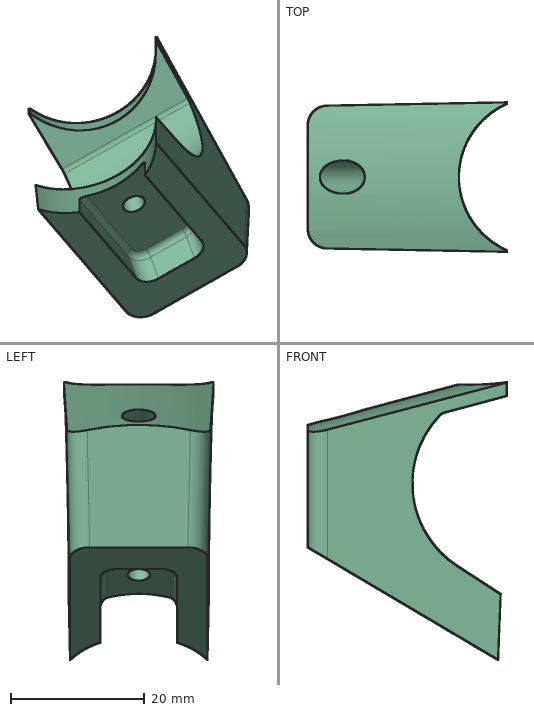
import cadquery as cq
import math

body_length = 29.95
top_height = 41.77
base_width = 20.67
side_draft = 1.43
back_corner_radius = 3.0

base_slope = 30.6
base_back_height = 16.9
roof_slope = 15.0
roof_back_height = 35.31
crown_radius = 40.0

saddle_radius = 12.0
saddle_depth_x = 22.74

jaw_radius = 14.75
jaw_back_x = 15.75
jaw_center_z = 26.5
jaw_end_height = 39.64
jaw_floor_slope = 33.0
jaw_corner_radius = 1.5

pocket_width = 11.5
pocket_back = 6.36
pocket_depth = 5.55
pocket_corner_radius = 2.6
pocket_edge_radius = 1.0

roof_hole_diameter = 5.0
roof_hole_x = 5.22
pocket_hole_diameter = 3.4
pocket_hole_distance = 17.5

overrun = 20.0
tool_length = 150.0

base_tan = math.tan(math.radians(base_slope))
base_sin = math.sin(math.radians(base_slope))
base_cos = math.cos(math.radians(base_slope))
roof_tan = math.tan(math.radians(roof_slope))


def base_height(x):
    """Height of the underside at x."""
    return base_back_height - base_tan * x


def roof_height(x):
    """Height of the roof crown at x."""
    return roof_back_height + roof_tan * x


base_plane = cq.Plane(
    origin=(0, 0, base_height(0)),
    xDir=(base_cos, 0, -base_sin),
    normal=(base_sin, 0, base_cos),
)


def make_block():
    """Block standing on the sloped underside, with drafted sides and rounded back corners."""
    rise = top_height + overrun
    half_base = base_width / 2
    half_crest = half_base + rise * math.tan(math.radians(side_draft))
    section_plane = cq.Plane(
        origin=base_plane.toWorldCoords((-tool_length / 2, 0, 0)),
        xDir=(0, 1, 0),
        normal=base_plane.xDir,
    )
    wedge = (
        cq.Workplane(section_plane)
        .polyline([(-half_base, 0), (half_base, 0), (half_crest, rise), (-half_crest, rise)])
        .close()
        .extrude(tool_length)
    )
    length_limit = (
        cq.Workplane("YZ")
        .rect(tool_length, tool_length)
        .extrude(body_length)
    )
    return wedge.intersect(length_limit).faces("<X").edges("not |Y").fillet(back_corner_radius)


def make_crown():
    """Long cylinder along the roof slope whose upper surface is the arched roof."""
    crown_plane = cq.Plane(
        origin=(-overrun, 0, roof_height(-overrun)),
        xDir=(0, 1, 0),
        normal=(1, 0, roof_tan),
    )
    return (
        cq.Workplane(crown_plane)
        .center(0, -crown_radius)
        .circle(crown_radius)
        .extrude(tool_length)
    )


def make_saddle():
    """Upright cylinder that leaves the concave +X end."""
    return (
        cq.Workplane("XY")
        .center(saddle_depth_x + saddle_radius, 0)
        .circle(saddle_radius)
        .extrude(top_height + overrun, both=True)
    )


def make_jaw():
    """Round-backed opening; its lower edge leaves the arc tangentially, its upper runs along the roof."""
    center_x = jaw_back_x + jaw_radius
    outer_x = body_length + overrun
    floor_angle = math.radians(jaw_floor_slope)
    low_x = center_x - jaw_radius * math.sin(floor_angle)
    low_z = jaw_center_z - jaw_radius * math.cos(floor_angle)
    end_x = body_length - center_x
    end_z = jaw_end_height - jaw_center_z
    quad_a = 1 + roof_tan**2
    quad_b = end_x + end_z * roof_tan
    quad_c = end_x**2 + end_z**2 - jaw_radius**2
    run = (-quad_b - math.sqrt(quad_b**2 - quad_a * quad_c)) / quad_a
    high_x = body_length + run
    high_z = jaw_end_height + run * roof_tan
    jaw = (
        cq.Workplane("XZ")
        .moveTo(low_x, low_z)
        .threePointArc((jaw_back_x, jaw_center_z), (high_x, high_z))
        .lineTo(outer_x, jaw_end_height + overrun * roof_tan)
        .lineTo(outer_x, low_z - (outer_x - low_x) * math.tan(floor_angle))
        .close()
        .extrude(base_width, both=True)
    )
    crossing = cq.selectors.NearestToPointSelector((high_x, 0, high_z))
    return jaw.edges("|Y").edges(crossing).fillet(jaw_corner_radius)


def make_pocket():
    """Pocket open toward +X, with rounded corners and a rounded ceiling edge."""
    pocket_length = body_length + overrun
    return (
        cq.Workplane(base_plane)
        .workplane(offset=-pocket_depth)
        .center(pocket_back + pocket_length / 2, 0)
        .rect(pocket_length, pocket_width)
        .extrude(2 * pocket_depth)
        .edges(cq.selectors.ParallelDirSelector(base_plane.zDir))
        .fillet(pocket_corner_radius)
        .faces(cq.selectors.DirectionMinMaxSelector(base_plane.zDir, True))
        .edges()
        .fillet(pocket_edge_radius)
    )


def make_pocket_hole():
    """Hole from the pocket ceiling up into the jaw."""
    return (
        cq.Workplane(base_plane)
        .center(pocket_hole_distance, 0)
        .circle(pocket_hole_diameter / 2)
        .extrude(pocket_depth + jaw_radius / 2)
    )


def make_roof_hole():
    """Hole from the roof down into the jaw, parallel to the underside."""
    hole_plane = cq.Plane(
        origin=(roof_hole_x, 0, roof_height(roof_hole_x)),
        xDir=(0, 1, 0),
        normal=(base_cos, 0, -base_sin),
    )
    return (
        cq.Workplane(hole_plane)
        .workplane(offset=-roof_hole_diameter)
        .circle(roof_hole_diameter / 2)
        .extrude(roof_hole_diameter + jaw_back_x)
    )


result = (
    make_block()
    .intersect(make_crown())
    .cut(make_saddle())
    .cut(make_jaw())
    .cut(make_pocket())
    .cut(make_pocket_hole())
    .cut(make_roof_hole())
)